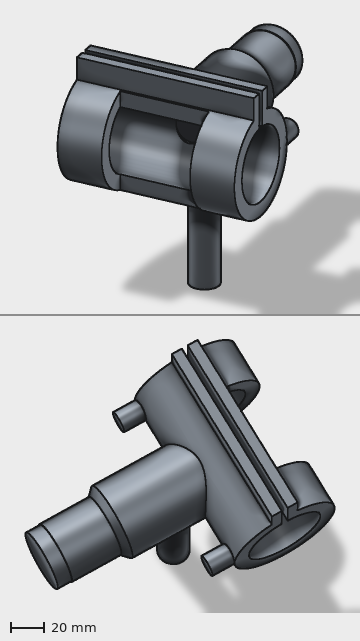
import cadquery as cq


clamp_length = 120.0
clamp_radius = 35.0
bore_radius = 25.0

ear_top = 49.0
ear_span = 18.0
slit_width = 4.0

window_length = clamp_length / 2
window_edge = -10.2

tower_radius = bore_radius
neck_radius = 20.0
taper_length = tower_radius - neck_radius
taper_start = 85.8
neck_start = taper_start + taper_length
neck_end = 125.2

spindle_radius = 10.0
spindle_front = bore_radius
cap_radius = 19.5
overall_length = 169.9
cap_end = overall_length - clamp_radius

branch_radius = spindle_radius
branch_y = 42.8
branch_bottom = -113.0
branch_top = -(tower_radius + spindle_radius) / 2

peg_radius = 7.0
peg_end = 50.3
peg_start = (bore_radius + clamp_radius) / 2
peg_x = clamp_length / 2 - peg_radius


def cylinder_x(radius, length):
    """Cylinder along X, centred on the origin."""
    return cq.Workplane("YZ").circle(radius).extrude(length / 2, both=True)


def cylinder_y(radius, start, end, x=0):
    """Cylinder along Y between two Y positions."""
    return cq.Workplane("XZ", origin=(x, start, 0)).circle(radius).extrude(start - end)


def make_tower():
    """Solid tower with a taper down to its neck, starting on the bore axis."""
    profile = [
        (0, 0),
        (tower_radius, 0),
        (tower_radius, taper_start),
        (neck_radius, neck_start),
        (neck_radius, neck_end),
        (0, neck_end),
    ]
    return cq.Workplane("XY").polyline(profile).close().revolve(360, (0, 0, 0), (0, 1, 0))


def make_branch():
    """Branch pipe hanging below the tower."""
    foot = cq.Workplane("XY", origin=(0, branch_y, branch_bottom))
    return foot.circle(branch_radius).extrude(branch_top - branch_bottom)


def make_housing():
    """Split clamp with its ears, tower, branch pipe and pegs."""
    housing = cylinder_x(clamp_radius, clamp_length)
    ears = cq.Workplane("XY").box(clamp_length, ear_span, ear_top, centered=(True, True, False))
    housing = housing.union(ears).union(make_tower()).union(make_branch())
    for x in (-peg_x, peg_x):
        housing = housing.union(cylinder_y(peg_radius, peg_start, peg_end, x))

    slit = cq.Workplane("XY").box(clamp_length, slit_width, ear_top, centered=(True, True, False))
    window_depth = clamp_radius + window_edge
    window = (
        cq.Workplane("XY")
        .box(window_length, window_depth, 2 * clamp_radius)
        .translate((0, window_edge - window_depth / 2, 0))
    )
    spindle_hole = cylinder_y(spindle_radius, 0, neck_end)
    housing = housing.cut(cylinder_x(bore_radius, clamp_length))
    return housing.cut(slit).cut(window).cut(spindle_hole)


def make_spindle():
    """Spindle with the cap that seats on the end of the tower."""
    stem = cylinder_y(spindle_radius, spindle_front, neck_end)
    return stem.union(cylinder_y(cap_radius, neck_end, cap_end))


housing = make_housing()
spindle = make_spindle()

result = cq.Compound.makeCompound([*housing.vals(), *spindle.vals()])